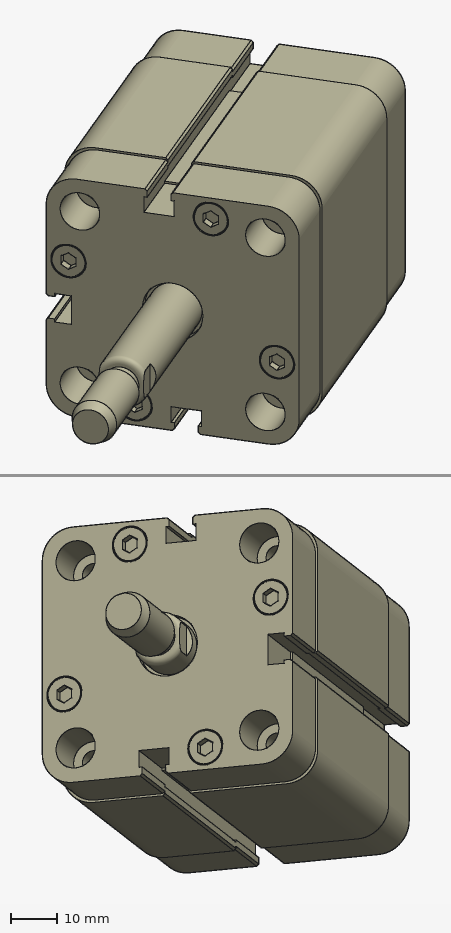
import cadquery as cq
import math


barrel_side = 58.2
cap_side = 57.2
corner_radius = 7.0
barrel_length = 46.0
cap_length = 14.8
cap_face = barrel_length / 2 + cap_length

slot_offset = 3.1
slot_mouth_width = 5.4
slot_width = 6.8
slot_lip = 2.0
slot_depth = 5.7
slot_mouth_chamfer = 0.5

total_length = 162.5
front_reach = 58.5
back_reach = total_length - front_reach - 2 * cap_face
rod_diameter = 12.0
bearing_bore_diameter = 13.6
bearing_bore_depth = 2.0
thread_diameter = 10.0
thread_length = 18.7
tip_diameter = 8.1
tip_chamfer_length = 2.8
neck_diameter = 8.0
neck_start = 22.0
shoulder_rounding = 1.3
thread_lead_in = 0.8
flat_start = 26.6
across_flats = 10.0

mount_offset = 21.0
mount_bore_diameter = 9.0
mount_bore_depth = 11.4
mount_hole_diameter = 4.9

screw_along = 8.6
screw_out = 23.5
screw_recess_diameter = 8.0
screw_head_diameter = 7.5
screw_recess_depth = 0.5
socket_across_flats = 3.4
socket_depth = 2.0


def front_plane(y):
    """Plane across the axis at Y = y, facing -Y; its local x and y run along X and Z."""
    return cq.Workplane("XZ", origin=(0, y, 0))


def both_ends(front_feature):
    """Join a feature of the front end with its mirror image at the back end."""
    return front_feature.union(front_feature.mirror("XZ"))


def rounded_block(side, length):
    block = front_plane(length / 2).rect(side, side).extrude(length)
    return block.edges("|Y").fillet(corner_radius)


def slot_cutter(side, length):
    """T-shaped slot along Y, open at the top face of a block."""
    top = side / 2
    mouth = front_plane(length / 2).center(-slot_offset, top - slot_lip / 2)
    mouth = mouth.rect(slot_mouth_width, slot_lip).extrude(length)
    half_mouth = slot_mouth_width / 2
    flare = (
        front_plane(length / 2)
        .center(-slot_offset, top)
        .polyline([
            (-half_mouth - slot_mouth_chamfer, 0),
            (half_mouth + slot_mouth_chamfer, 0),
            (half_mouth, -slot_mouth_chamfer),
            (-half_mouth, -slot_mouth_chamfer),
        ])
        .close()
        .extrude(length)
    )
    undercut_height = slot_depth - slot_lip
    undercut = front_plane(length / 2).center(-slot_offset, top - slot_lip - undercut_height / 2)
    undercut = undercut.rect(slot_width, undercut_height).extrude(length)
    return mouth.union(flare).union(undercut)


def slotted_block(side, length):
    """Rounded block with slots in its top, left and bottom faces."""
    block = rounded_block(side, length)
    cutter = slot_cutter(side, length)
    for angle in (0, -90, -180):
        block = block.cut(cutter.rotate((0, 0, 0), (0, 1, 0), angle))
    return block


def rod_end(reach):
    """Front half of the rod, ending in a threaded stud at the given reach from the cap face."""
    tip = cap_face + reach
    shoulder = tip - neck_start
    thread_start = tip - thread_length
    rod_radius = rod_diameter / 2
    neck_radius = neck_diameter / 2
    thread_radius = thread_diameter / 2
    flat_depth = rod_radius - across_flats / 2
    rounding_end = (rod_radius - shoulder_rounding, -shoulder)
    rounding_sag = shoulder_rounding * (1 - math.sqrt(0.5))
    rounding_middle = (rod_radius - rounding_sag, -(shoulder - rounding_sag))
    rod = (
        cq.Workplane("XY")
        .lineTo(rod_radius, 0)
        .lineTo(rod_radius, -(shoulder - shoulder_rounding))
        .threePointArc(rounding_middle, rounding_end)
        .lineTo(neck_radius, -shoulder)
        .lineTo(neck_radius, -(thread_start - thread_lead_in))
        .lineTo(thread_radius, -thread_start)
        .lineTo(thread_radius, -(tip - tip_chamfer_length))
        .lineTo(tip_diameter / 2, -tip)
        .lineTo(0, -tip)
        .close()
        .revolve(360, (0, 0, 0), (0, 1, 0))
    )
    flat = (
        cq.Workplane("XY")
        .polyline([
            (rod_radius, -(tip - flat_start - flat_depth)),
            (rod_radius, -shoulder),
            (across_flats / 2, -shoulder),
            (across_flats / 2, -(tip - flat_start)),
        ])
        .close()
        .extrude(rod_radius, both=True)
    )
    return rod.cut(flat).cut(flat.mirror("YZ"))


def mounting_holes():
    """Holes through the full length, one in each corner, with a wider bore at both ends."""
    spots = [(x, z) for x in (-mount_offset, mount_offset) for z in (-mount_offset, mount_offset)]
    start = front_plane(-cap_face).pushPoints(spots)
    through = start.circle(mount_hole_diameter / 2).extrude(-2 * cap_face)
    bore = start.circle(mount_bore_diameter / 2).extrude(-mount_bore_depth)
    return through.union(both_ends(bore))


def screw_recesses():
    """Ring gaps and hexagon sockets of the flush cap screws, one per side of the cap."""
    spots = [
        (screw_along, screw_out),
        (screw_out, -screw_along),
        (-screw_along, -screw_out),
        (-screw_out, screw_along),
    ]
    ring_gaps = front_plane(-cap_face).pushPoints(spots).circle(screw_recess_diameter / 2)
    ring_gaps = ring_gaps.circle(screw_head_diameter / 2).extrude(-screw_recess_depth)
    corner_angle = math.pi / 3
    corner_distance = socket_across_flats / 2 / math.cos(corner_angle / 2)
    socket_corners = [
        (corner_distance * math.sin(i * corner_angle), corner_distance * math.cos(i * corner_angle))
        for i in range(6)
    ]
    recesses = ring_gaps
    for x, z in spots:
        socket = front_plane(-cap_face).center(x, z).polyline(socket_corners).close()
        recesses = recesses.union(socket.extrude(-socket_depth))
    return both_ends(recesses)


def bearing_bores():
    """Shallow clearance around the rod where it leaves each cap."""
    bore = front_plane(-cap_face).circle(bearing_bore_diameter / 2).extrude(-bearing_bore_depth)
    return both_ends(bore)


front_cap = slotted_block(cap_side, cap_length).translate((0, -(barrel_length + cap_length) / 2, 0))
housing = slotted_block(barrel_side, barrel_length).union(both_ends(front_cap))
housing = housing.cut(mounting_holes()).cut(screw_recesses()).cut(bearing_bores())

rod = rod_end(front_reach).union(rod_end(back_reach).mirror("XZ"))
result = housing.union(rod)